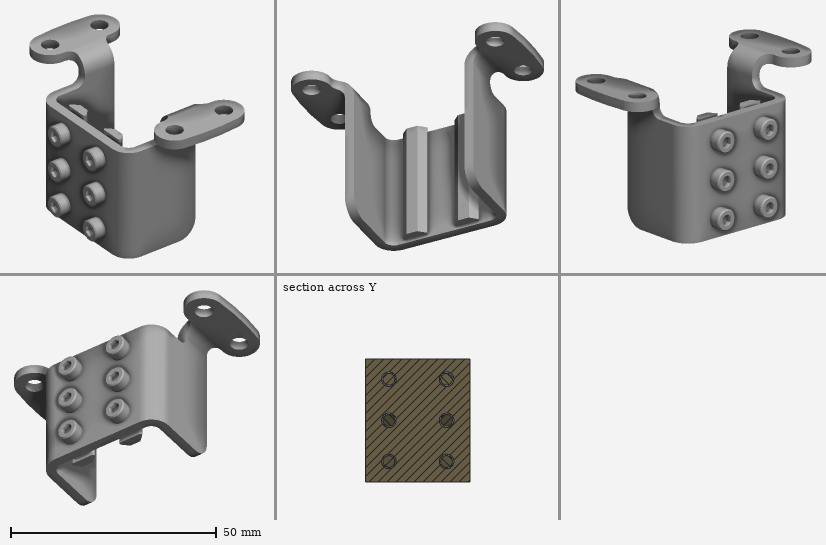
import cadquery as cq
import math


cos_45 = math.sqrt(0.5)

sheet = 2.5
inner_bend = 2.5
outer_bend = inner_bend + sheet
channel_width = 35.0
channel_height = 30.0
arm_depth = 21.5
arm_bottom_radius = 5.0

overall_height = 38.0
neck_width = 9.0
neck_fillet = 2.5
neck_center_y = arm_depth - neck_width / 2
neck_front_y = arm_depth - neck_width
bend_z = overall_height - outer_bend
half_channel = channel_width / 2
arm_inner_x = half_channel - sheet
tab_inner_x = half_channel + inner_bend

tab_length = 25.0
tab_end_radius = 5.0
tab_tip_x = 30.45
tab_hole_diameter = 4.5
tab_hole_x = tab_inner_x + tab_end_radius
tab_hole_offset = tab_length / 2 - tab_end_radius

screw_columns = 2
screw_rows = 3
screw_pitch_x = 14.0
screw_pitch_z = 10.0
head_diameter = 5.5
head_height = 3.0
head_chamfer = 0.3
shank_diameter = 3.0
clearance_diameter = 3.4
socket_flats = 2.5
socket_corners = 2 * socket_flats / math.sqrt(3)
socket_depth = 1.45
socket_entry_diameter = 2.9
socket_turn = 30
socket_point_diameter = 2.45
cone_angle = 120

nut_gap = 1.3
nut_thickness = 2.4
nut_width = 6.45
nut_top_width = 3.0
nut_edge_height = 0.7
nut_edge_chamfer = 0.3
nut_front_y = sheet + nut_gap
nut_back_y = nut_front_y + nut_thickness

column_xs = [(i - (screw_columns - 1) / 2) * screw_pitch_x for i in range(screw_columns)]
row_zs = [channel_height / 2 + (i - (screw_rows - 1) / 2) * screw_pitch_z for i in range(screw_rows)]


def rod_along_y(diameter, x, z, y_start, y_end):
    """Cylinder parallel to Y between two Y positions."""
    rod = cq.Workplane("XZ", origin=(x, y_start, z)).circle(diameter / 2)
    return rod.extrude(y_start - y_end)


def cone_along_y(diameter, x, z, base_y):
    """Cone parallel to Y, from its base toward +Y."""
    depth = diameter / 2 / math.tan(math.radians(cone_angle / 2))
    base = cq.Vector(x, base_y, z)
    return cq.Workplane(cq.Solid.makeCone(diameter / 2, 0, depth, pnt=base, dir=cq.Vector(0, 1, 0)))


def u_channel(height):
    """U-shaped channel section, extruded upward."""
    outer = (
        cq.Workplane("XY")
        .box(channel_width, arm_depth, height, centered=(True, False, False))
        .edges("|Z and <Y")
        .fillet(outer_bend)
    )
    inner = (
        cq.Workplane("XY", origin=(0, sheet, 0))
        .box(2 * arm_inner_x, arm_depth, height, centered=(True, False, False))
        .edges("|Z and <Y")
        .fillet(inner_bend)
    )
    return outer.cut(inner)


def arm_side_outline():
    """Side outline of the arms with their rounded bottom corner and filleted necks, across X."""
    bottom_mid = arm_bottom_radius * (1 - cos_45)
    fillet_mid = neck_fillet * (1 - cos_45)
    return (
        cq.Workplane("YZ", origin=(-half_channel, 0, 0))
        .moveTo(0, 0)
        .lineTo(arm_depth - arm_bottom_radius, 0)
        .threePointArc((arm_depth - bottom_mid, bottom_mid), (arm_depth, arm_bottom_radius))
        .lineTo(arm_depth, bend_z)
        .lineTo(neck_front_y, bend_z)
        .lineTo(neck_front_y, channel_height + neck_fillet)
        .threePointArc(
            (neck_front_y - fillet_mid, channel_height + fillet_mid),
            (neck_front_y - neck_fillet, channel_height),
        )
        .lineTo(0, channel_height)
        .close()
        .extrude(channel_width)
    )


def tab_plan():
    """Plan of the right tab and neck: two round ends, a slightly bulged outer side, filleted neck."""
    r = tab_end_radius
    bulge = tab_tip_x - tab_hole_x - r
    center_shift = (tab_hole_offset**2 + bulge**2) / (2 * bulge)
    tangent_angle = math.asin(tab_hole_offset / center_shift)
    tangent_x = tab_hole_x + r * math.cos(tangent_angle)
    tangent_y = tab_hole_offset + r * math.sin(tangent_angle)
    half_neck = neck_width / 2
    fillet_mid = neck_fillet * (1 - cos_45)
    fillet_x = tab_inner_x - neck_fillet
    return (
        cq.Workplane("XY", origin=(0, neck_center_y, 0))
        .moveTo(arm_inner_x, -half_neck)
        .lineTo(fillet_x, -half_neck)
        .threePointArc(
            (tab_inner_x - fillet_mid, -half_neck - fillet_mid),
            (tab_inner_x, -half_neck - neck_fillet),
        )
        .lineTo(tab_inner_x, -tab_hole_offset)
        .threePointArc((tab_hole_x, -tab_length / 2), (tangent_x, -tangent_y))
        .threePointArc((tab_tip_x, 0), (tangent_x, tangent_y))
        .threePointArc((tab_hole_x, tab_length / 2), (tab_inner_x, tab_hole_offset))
        .lineTo(tab_inner_x, half_neck + neck_fillet)
        .threePointArc(
            (tab_inner_x - fillet_mid, half_neck + fillet_mid),
            (fillet_x, half_neck),
        )
        .lineTo(arm_inner_x, half_neck)
        .close()
        .extrude(overall_height)
    )


def bent_strip():
    """Sheet bent from vertical to horizontal, as wide as the tab is long."""
    outer_mid = outer_bend * cos_45
    inner_mid = inner_bend * cos_45
    return (
        cq.Workplane("XZ", origin=(0, neck_center_y + tab_length / 2, 0))
        .moveTo(arm_inner_x, bend_z)
        .threePointArc((tab_inner_x - outer_mid, bend_z + outer_mid), (tab_inner_x, overall_height))
        .lineTo(tab_tip_x, overall_height)
        .lineTo(tab_tip_x, overall_height - sheet)
        .lineTo(tab_inner_x, overall_height - sheet)
        .threePointArc((tab_inner_x - inner_mid, bend_z + inner_mid), (half_channel, bend_z))
        .close()
        .extrude(tab_length)
    )


def make_tab():
    """Right mounting tab with its bend and two holes."""
    holes = (
        cq.Workplane("XY", origin=(tab_hole_x, neck_center_y, 0))
        .pushPoints([(0, -tab_hole_offset), (0, tab_hole_offset)])
        .circle(tab_hole_diameter / 2)
        .extrude(overall_height)
    )
    return bent_strip().intersect(tab_plan()).cut(holes)


def make_bracket():
    """Channel with two tabs and a clearance hole for each screw."""
    right_tab = make_tab()
    body = u_channel(bend_z).intersect(arm_side_outline())
    body = body.union(right_tab).union(right_tab.mirror("YZ"))
    for x in column_xs:
        for z in row_zs:
            body = body.cut(rod_along_y(clearance_diameter, x, z, 0, sheet))
    return body


def make_screw(x, z):
    """Socket-head screw reaching from the bracket front to the back of its nut bar."""
    head = rod_along_y(head_diameter, x, z, -head_height, 0).faces("<Y").chamfer(head_chamfer)
    socket = (
        cq.Workplane("XZ", origin=(x, -head_height, z))
        .transformed(rotate=(0, 0, socket_turn))
        .polygon(6, socket_corners)
        .extrude(-socket_depth)
    )
    entry = cone_along_y(socket_entry_diameter, x, z, -head_height)
    point = cone_along_y(socket_point_diameter, x, z, socket_depth - head_height)
    shank = rod_along_y(shank_diameter, x, z, 0, nut_back_y)
    return head.union(shank).cut(socket).cut(entry).cut(point)


def make_nut_bar(x):
    """Trapezoidal nut bar, as tall as the channel, with a hole for each screw of its column."""
    half_width = nut_width / 2
    half_top = nut_top_width / 2
    right_side = [
        (half_width - nut_edge_chamfer, nut_front_y),
        (half_width, nut_front_y + nut_edge_chamfer),
        (half_width, nut_front_y + nut_edge_height),
        (half_top, nut_back_y),
    ]
    left_side = [(-px, py) for px, py in reversed(right_side)]
    bar = (
        cq.Workplane("XY", origin=(x, 0, 0))
        .polyline(right_side + left_side)
        .close()
        .extrude(channel_height)
    )
    for z in row_zs:
        bar = bar.cut(rod_along_y(shank_diameter, x, z, nut_front_y, nut_back_y))
    return bar


bracket = make_bracket()
screws = [make_screw(x, z) for x in column_xs for z in row_zs]
nut_bars = [make_nut_bar(x) for x in column_xs]

result = cq.Compound.makeCompound(
    [body.solids().val() for body in [bracket, *screws, *nut_bars]]
)